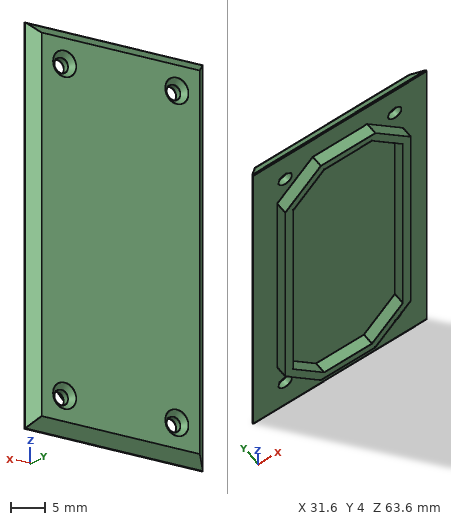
import cadquery as cq

plate_width = 31.6
plate_height = 63.6
total_depth = 4.0
frame_depth = total_depth / 2
plate_thickness = total_depth - frame_depth
edge_land = 0.25
back_bevel = plate_thickness - edge_land

frame_width = 22.9
frame_height = 54.95
frame_corner = 6.5
frame_wall = 1.45

hole_diameter = 2.4
hole_spacing_x = 20.0
hole_spacing_z = 52.0
straight_hole_depth = 1.15
countersink_depth = plate_thickness - straight_hole_depth
countersink_half_angle = 45


def front_plane(offset):
    """Plane parallel to the plate, at the given distance in front of its front face."""
    return cq.Workplane("XZ", origin=(0, -offset, 0))


def make_plate():
    """Flat plate, bevelled all round its back face."""
    plate = front_plane(0).rect(plate_width, plate_height).extrude(-plate_thickness)
    return plate.faces(">Y").chamfer(back_bevel)


def make_frame():
    """Octagonal wall of even thickness, standing in front of the plate."""
    outer = (
        front_plane(0)
        .rect(frame_width, frame_height)
        .extrude(frame_depth)
        .edges("|Y")
        .chamfer(frame_corner)
    )
    opening = (
        outer.faces("<Y")
        .wires()
        .toPending()
        .offset2D(-frame_wall)
        .extrude(-frame_depth, combine=False)
    )
    return outer.cut(opening)


def make_hole_cutter(x, z):
    """Through hole with a 90 degree countersink, so its radius grows by the countersink depth."""
    hole = front_plane(0).center(x, z).circle(hole_diameter / 2).extrude(-plate_thickness)
    countersink = (
        front_plane(-plate_thickness)
        .center(x, z)
        .circle(hole_diameter / 2 + countersink_depth)
        .extrude(countersink_depth, taper=countersink_half_angle)
    )
    return hole.union(countersink)


result = make_plate().union(make_frame())
for side_x in (-1, 1):
    for side_z in (-1, 1):
        result = result.cut(make_hole_cutter(side_x * hole_spacing_x / 2, side_z * hole_spacing_z / 2))